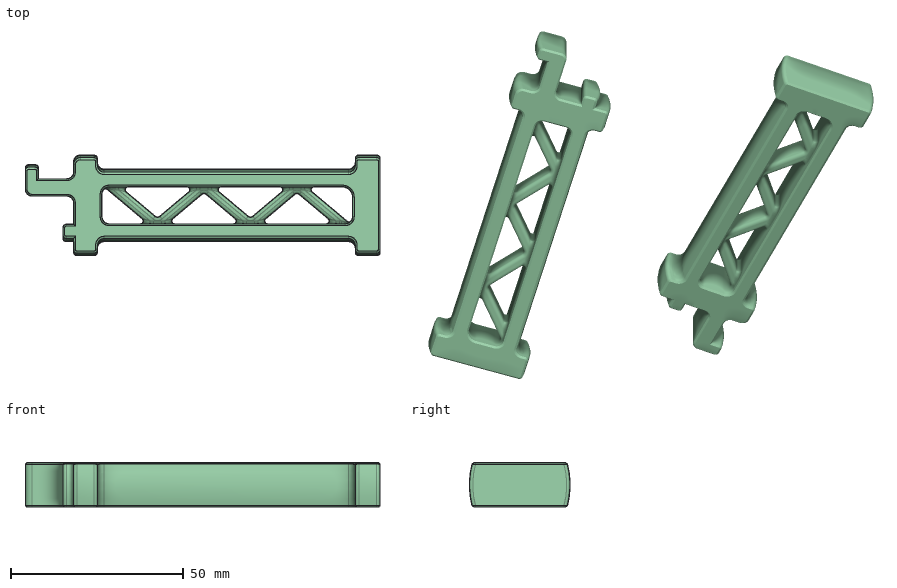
import cadquery as cq
import math

length = 103.0
height = 13.0
plate_width = 29.3
rails_width = 21.1
plate_half = plate_width / 2
rails_half = rails_width / 2

plate_crown_radius = 24.0
rail_crown_radius = 20.0

corner_radius = 1.0
blend_radius = 2 * corner_radius
edge_chamfer = 0.5

near_plate_start = 14.0
near_plate_end = 20.9
far_plate_start = 95.8

window_start = 22.3
window_end = 95.0
window_width = 10.7
window_corner_diameter = 4.2
window_large_corner_radius = 3.0
window_length = window_end - window_start
window_middle = (window_start + window_end) / 2
window_half = window_width / 2

hook_tip_length = 3.8
hook_tip_top = 11.9
hook_arm_top = 7.7
hook_arm_bottom = 2.7
nub_start = 10.9
nub_top = -5.5

bay_count = 5
bay_pitch = 13.5
node_offset = 5.7
strut_width = 3.0
strut_height = 7.0
strut_overrun = 3.1
web_embedding = 0.5
web_root_radius = 0.8

TOLERANCE = 0.01


def crown_drop(radius):
    """How far a crowned face falls back from its middle to its top and bottom edges."""
    return radius - math.sqrt(radius**2 - (height / 2) ** 2)


def block(x_start, x_end, y_low, y_high, low_crown=None, high_crown=None):
    """Bar along X; a crown radius makes that Y side bulge out to y_low or y_high."""
    top = height / 2
    low_edge = y_low + (crown_drop(low_crown) if low_crown else 0)
    high_edge = y_high - (crown_drop(high_crown) if high_crown else 0)
    profile = cq.Workplane("YZ", origin=(x_start, 0, 0)).moveTo(low_edge, -top).lineTo(high_edge, -top)
    if high_crown:
        profile = profile.threePointArc((y_high, 0), (high_edge, top))
    else:
        profile = profile.lineTo(high_edge, top)
    profile = profile.lineTo(low_edge, top)
    if low_crown:
        profile = profile.threePointArc((y_low, 0), (low_edge, -top))
    return profile.close().extrude(x_end - x_start)


def round_upright(body, x, y, radius):
    """Round the upright edge, straight or crowned, whose middle is near (x, y)."""
    reach = crown_drop(rail_crown_radius)
    near_edge = cq.selectors.BoxSelector(
        (x - TOLERANCE, y - reach, -TOLERANCE),
        (x + TOLERANCE, y + reach, TOLERANCE),
    )
    return body.edges(near_edge).fillet(radius)


def crowned_body():
    """Plates, rails, hook and nub with their upright corners rounded."""
    plate_crowns = (plate_crown_radius, plate_crown_radius)
    rail_crowns = (rail_crown_radius, rail_crown_radius)
    body = block(near_plate_start, near_plate_end, -plate_half, plate_half, *plate_crowns)
    body = body.union(block(far_plate_start, length, -plate_half, plate_half, *plate_crowns))
    body = body.union(block(near_plate_end, far_plate_start, -rails_half, rails_half, *rail_crowns))
    body = body.union(block(0, near_plate_start, hook_arm_bottom, hook_arm_top))
    body = body.union(
        block(0, hook_tip_length, hook_arm_bottom, hook_tip_top, high_crown=plate_crown_radius)
    )
    body = body.union(
        block(nub_start, near_plate_start, -rails_half, nub_top, low_crown=rail_crown_radius)
    )

    small_corners = [
        (0, hook_tip_top),
        (hook_tip_length, hook_tip_top),
        (nub_start, nub_top),
        (nub_start, -rails_half),
        (near_plate_start, -plate_half),
    ]
    large_corners = [
        (0, hook_arm_bottom),
        (near_plate_start, plate_half),
        (near_plate_start, hook_arm_top),
        (near_plate_start, hook_arm_bottom),
    ]
    for side in (-1, 1):
        for x in (near_plate_end, far_plate_start):
            small_corners.append((x, side * plate_half))
            large_corners.append((x, side * rails_half))
        small_corners.append((length, side * plate_half))

    for x, y in small_corners:
        body = round_upright(body, x, y, corner_radius)
    for x, y in large_corners:
        body = round_upright(body, x, y, blend_radius)
    return body


def window():
    """Through opening between the rails and the plates."""
    opening = cq.Workplane("XY").box(window_length, window_width, height).translate((window_middle, 0, 0))
    opening = opening.edges("|Z and (<X or <Y)").fillet(window_corner_diameter / 2)
    return opening.edges("|Z and >X and >Y").fillet(window_large_corner_radius)


def web():
    """Zigzag of struts with rounded long edges, ending just inside the rails."""
    slope = math.atan2(2 * node_offset, bay_pitch)
    strut_length = math.hypot(bay_pitch, 2 * node_offset) + 2 * strut_overrun
    first_node = window_middle - bay_count * bay_pitch / 2

    zigzag = cq.Workplane("XY")
    for bay in range(bay_count):
        turn = math.degrees(slope) * (-1) ** (bay + 1)
        strut = cq.Workplane("XY").box(strut_length, strut_width, strut_height)
        strut = strut.rotate((0, 0, 0), (0, 0, 1), turn)
        zigzag = zigzag.union(strut.translate((first_node + (bay + 0.5) * bay_pitch, 0, 0)))

    inner_corner = node_offset - strut_width / 2 / math.cos(slope)
    for node in range(1, bay_count):
        zigzag = round_upright(
            zigzag, first_node + node * bay_pitch, inner_corner * (-1) ** node, corner_radius
        )
    zigzag = zigzag.faces("<Z or >Z").edges().fillet(corner_radius)

    trim = cq.Workplane("XY").box(window_length, window_width + 2 * web_embedding, strut_height)
    return zigzag.intersect(trim.translate((window_middle, 0, 0)))


def is_web_root(edge):
    """True for an edge where the web meets a long wall of the window."""
    on_wall = abs(abs(edge.Center().y) - window_half) < TOLERANCE
    beside_web = edge.BoundingBox().zlen < strut_height + TOLERANCE
    below_rim = abs(edge.Center().z) < strut_height / 2 + TOLERANCE
    return on_wall and beside_web and below_rim


frame = crowned_body().cut(window()).faces("<Z or >Z").chamfer(edge_chamfer)
result = frame.union(web()).edges().filter(is_web_root).fillet(web_root_radius)